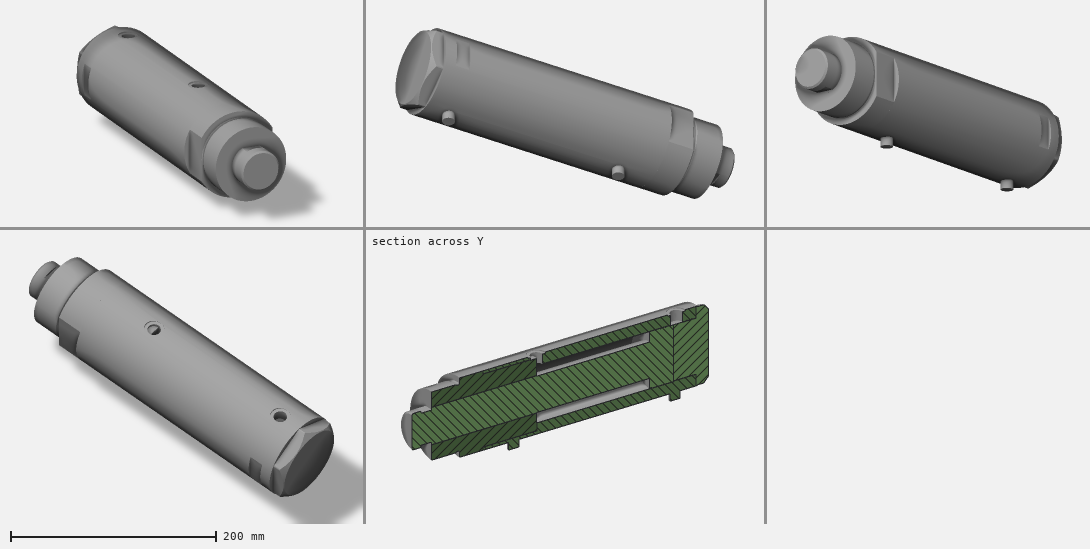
import cadquery as cq
import math


CAP_SHOULDER_X = 13.0
TUBE_START_X = 14.8
NOSE_END_X = 41.0
PISTON_END_X = 69.0
HEAD_NOSE_X = 199.5
TUBE_END_X = 261.5
FLANGE_END_X = 289.0
COLLAR_START_X = 293.0
COLLAR_END_X = 321.2
ROD_FLAT_END_X = 333.0
ROD_END_X = 344.3

BODY_RADIUS = 44.0
BORE_RADIUS = 31.5
HEAD_NOSE_RADIUS = 40.0
ROD_RADIUS = 20.3

WRENCH_SIZE = 75.7
HEX_CORNER_RADIUS = 43.5
HEX_FACE_RADIUS = 37.2
HEX_CHAMFER_LENGTH = 5.5
COLLAR_RADIUS = WRENCH_SIZE / 2
GROOVE_DEPTH = 1.0

TUBE_FLAT_SIZE = 82.0
TUBE_FLAT_START_X = 25.0
TUBE_FLAT_LENGTH = 14.8

PORT_XS = (37.2, HEAD_NOSE_X)
PORT_DIAMETER = 13.0
SPOTFACE_DIAMETER = 20.0
SPOTFACE_DEPTH = 1.5

PEG_XS = (39.0, 226.0)
PEG_DIAMETER = 12.5
PEG_HEIGHT = 8.3
PEG_ROOT_RADIUS = 42.0

ROD_FLAT_SIZE = 35.8
ROD_CHAMFER = 1.7


def cylinder(radius, start_x, end_x):
    """Round bar along X between two stations."""
    return cq.Workplane("YZ", origin=(start_x, 0, 0)).circle(radius).extrude(end_x - start_x)


def slab(start_x, end_x, size_y, size_z):
    """Block centred on the X axis, for keeping the material between two flats."""
    return cq.Workplane("YZ", origin=(start_x, 0, 0)).rect(size_y, size_z).extrude(end_x - start_x)


def make_cap():
    """Chamfered hexagon, thin flange, and a nose that plugs the bore."""
    hexagon_diameter = WRENCH_SIZE / math.cos(math.pi / 6)
    hexagon = (
        cq.Workplane("YZ")
        .transformed(rotate=(0, 0, 90))
        .polygon(6, hexagon_diameter)
        .extrude(CAP_SHOULDER_X)
    )
    chamfered_blank = (
        cq.Workplane("XY")
        .moveTo(0, 0)
        .lineTo(0, HEX_FACE_RADIUS)
        .lineTo(HEX_CHAMFER_LENGTH, HEX_CORNER_RADIUS)
        .lineTo(CAP_SHOULDER_X, HEX_CORNER_RADIUS)
        .lineTo(CAP_SHOULDER_X, 0)
        .close()
        .revolve(360, (0, 0, 0), (1, 0, 0))
    )
    flange = cylinder(BODY_RADIUS, CAP_SHOULDER_X, TUBE_START_X)
    nose = cylinder(BORE_RADIUS, TUBE_START_X, NOSE_END_X)
    return hexagon.intersect(chamfered_blank).union(flange).union(nose).solids().val()


def make_tube():
    """Bored tube with side flats, two spotfaced ports on top and two pegs below."""
    tube = cylinder(BODY_RADIUS, TUBE_START_X, TUBE_END_X)

    flat_end_x = TUBE_FLAT_START_X + TUBE_FLAT_LENGTH
    band = cylinder(BODY_RADIUS, TUBE_FLAT_START_X, flat_end_x)
    kept = slab(TUBE_FLAT_START_X, flat_end_x, TUBE_FLAT_SIZE, 2 * BODY_RADIUS)
    tube = tube.cut(band.cut(kept))

    pegs = (
        cq.Workplane("XY", origin=(0, 0, -BODY_RADIUS - PEG_HEIGHT))
        .pushPoints([(x, 0) for x in PEG_XS])
        .circle(PEG_DIAMETER / 2)
        .extrude(BODY_RADIUS + PEG_HEIGHT - PEG_ROOT_RADIUS)
    )
    tube = tube.union(pegs)

    tube = tube.cut(cylinder(BORE_RADIUS, TUBE_START_X, TUBE_END_X))
    tube = tube.cut(cylinder(HEAD_NOSE_RADIUS, HEAD_NOSE_X, TUBE_END_X))

    ports = (
        cq.Workplane("XY")
        .pushPoints([(x, 0) for x in PORT_XS])
        .circle(PORT_DIAMETER / 2)
        .extrude(BODY_RADIUS)
    )
    spotfaces = (
        cq.Workplane("XY", origin=(0, 0, BODY_RADIUS - SPOTFACE_DEPTH))
        .pushPoints([(x, 0) for x in PORT_XS])
        .circle(SPOTFACE_DIAMETER / 2)
        .extrude(SPOTFACE_DEPTH)
    )
    return tube.cut(ports).cut(spotfaces).solids().val()


def make_head():
    """Nose inside the tube, flange with two wrench flats, groove and collar, bored for the rod."""
    nose = cylinder(HEAD_NOSE_RADIUS, HEAD_NOSE_X, TUBE_END_X)
    flange = cylinder(BODY_RADIUS, TUBE_END_X, FLANGE_END_X).intersect(
        slab(TUBE_END_X, FLANGE_END_X, WRENCH_SIZE, 2 * BODY_RADIUS)
    )
    groove_radius = COLLAR_RADIUS - GROOVE_DEPTH
    collar = (
        cq.Workplane("XY")
        .moveTo(FLANGE_END_X, 0)
        .lineTo(FLANGE_END_X, COLLAR_RADIUS)
        .lineTo(FLANGE_END_X + GROOVE_DEPTH, groove_radius)
        .lineTo(COLLAR_START_X - GROOVE_DEPTH, groove_radius)
        .lineTo(COLLAR_START_X, COLLAR_RADIUS)
        .lineTo(COLLAR_END_X, COLLAR_RADIUS)
        .lineTo(COLLAR_END_X, 0)
        .close()
        .revolve(360, (0, 0, 0), (1, 0, 0))
    )
    rod_hole = cylinder(ROD_RADIUS, HEAD_NOSE_X, COLLAR_END_X)
    return nose.union(flange).union(collar).cut(rod_hole).solids().val()


def make_rod():
    """Piston and rod in one piece, with flats above and below the rod end."""
    piston = cylinder(BORE_RADIUS, NOSE_END_X, PISTON_END_X)
    shank = cylinder(ROD_RADIUS, PISTON_END_X, ROD_END_X).faces(">X").chamfer(ROD_CHAMFER)
    band = cylinder(ROD_RADIUS, COLLAR_END_X, ROD_FLAT_END_X)
    kept = slab(COLLAR_END_X, ROD_FLAT_END_X, 2 * ROD_RADIUS, ROD_FLAT_SIZE)
    return piston.union(shank.cut(band.cut(kept))).solids().val()


cap = make_cap()
tube = make_tube()
head = make_head()
piston_rod = make_rod()

result = cq.Compound.makeCompound([cap, tube, head, piston_rod])